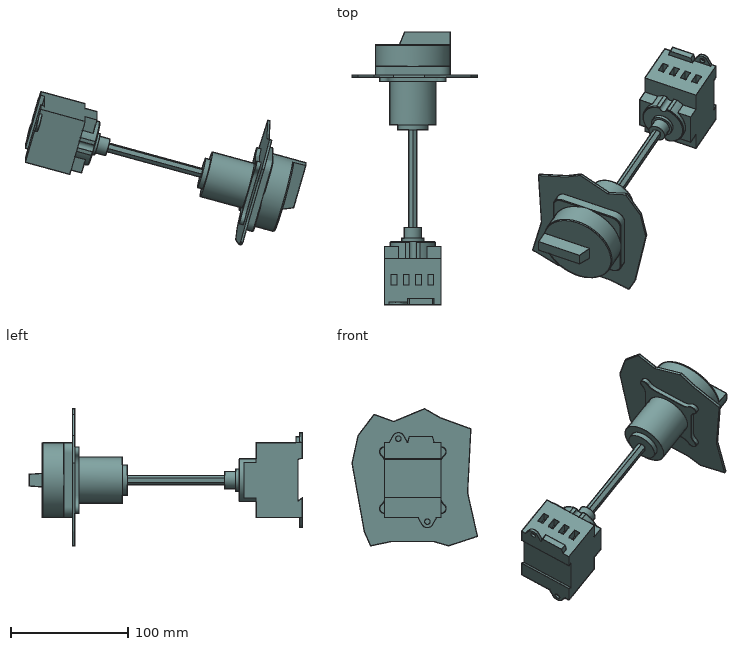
import cadquery as cq
import math


RECESS_FLOOR_Y = 3.5
BODY_FRONT_Y = 39.3
SHOULDER_FRONT_Y = 49.8
DISC_FRONT_Y = 54.0
COUPLING_FLANGE_FRONT_Y = 56.8
COUPLING_FRONT_Y = 66.0
SLEEVE_COLLAR_REAR_Y = 149.2
SLEEVE_REAR_Y = 153.3
BRACKET_REAR_Y = 190.0
PANEL_REAR_Y = 193.8
PANEL_FRONT_Y = 196.0
BASE_FRONT_Y = 203.5
KNOB_FRONT_Y = 222.0
GRIP_FRONT_Y = 232.7

PANEL_CORNERS = [
    (10.0, 61.0), (23.3, 53.3), (49.5, 43.7), (46.8, -10.7), (55.1, -48.0), (30.5, -56.0), (17.7, -52.4),
    (-18.2, -52.4), (-36.0, -56.0), (-41.5, -44.0), (-52.0, 14.5), (-46.8, 38.0), (-33.0, 56.0), (-16.3, 50.0),
]

BASE_SIDE = 64.0
BASE_CORNER_RADIUS = 8.5
BASE_CHAMFER = 0.7
KNOB_RADIUS = BASE_SIDE / 2
KNOB_CHAMFER_LENGTH = 1.2
KNOB_CHAMFER_DEPTH = 0.5
GRIP_TAIL_X = -11.5
GRIP_TIP_TAIL_X = -7.0
GRIP_ROOT_HALF_WIDTH = 5.8
GRIP_TIP_HALF_WIDTH = 5.1

LOBE_OFFSET = 24.2
LOBE_RADIUS = 4.2
BRACKET_HALF_SIDE = 23.5
BRACKET_FILLET_START = 13.7
BRACKET_EDGE_CHAMFER = 0.2

SLEEVE_RADIUS = 19.8
COLLAR_RADIUS = 13.0
SHAFT_ACROSS_FLATS = 7.0
SHAFT_SIDES = 6

BODY_HALF_WIDTH = 24.2
BODY_HEIGHT = 64.0
BODY_HALF_HEIGHT = BODY_HEIGHT / 2
SHOULDER_HALF_HEIGHT = 15.1
RECESS_TOP_Z = 18.5
RECESS_HALF_HEIGHT = 17.7
RECESS_LIP_Z = -15.0

TERMINAL_COUNT = 4
TERMINAL_PITCH = 10.5
TERMINAL_ROW_CENTER_X = -0.35
TERMINAL_WIDTH = 5.0
TERMINAL_LENGTH = 9.0
TERMINAL_CENTER_Y = 21.5
TERMINAL_DEPTH = 9.3

TAB_THICKNESS = 2.3
TAB_HOLE_X = 12.3
TAB_HOLE_Z = 35.4
TAB_HOLE_RADIUS = 2.3
TAB_TIP_RADIUS = 5.1
TAB_HALF_BASE = 8.0
LATCH_DEPTH = 5.4
LATCH_LEFT_X = -4.5
LATCH_RIGHT_X = 18.2
LATCH_SIDE_SLOPE = 1.5
LATCH_TOP_Z = 37.0

DISC_RADIUS = 19.3
DISC_CHAMFER = 0.7
DISC_FLAT_HALF_WIDTH = 6.3
DISC_GROOVE_RADIUS = 3.0
COUPLING_FLANGE_RADIUS = 9.5
COUPLING_RADIUS = 7.5


def section_ending_at(front_y):
    """XZ workplane at front_y; extruding from it goes toward -Y."""
    return cq.Workplane("XZ", origin=(0, front_y, 0))


def cylinder(radius, rear_y, front_y):
    return section_ending_at(front_y).circle(radius).extrude(front_y - rear_y)


def make_panel():
    outline = section_ending_at(PANEL_FRONT_Y).polyline(PANEL_CORNERS).close()
    return outline.extrude(PANEL_FRONT_Y - PANEL_REAR_Y)


def make_base():
    thickness = BASE_FRONT_Y - PANEL_FRONT_Y
    base = section_ending_at(BASE_FRONT_Y).rect(BASE_SIDE, BASE_SIDE).extrude(thickness)
    return base.edges("|Y").fillet(BASE_CORNER_RADIUS).faces(">Y").edges().chamfer(BASE_CHAMFER)


def make_knob():
    knob = cylinder(KNOB_RADIUS, PANEL_FRONT_Y, KNOB_FRONT_Y)
    return knob.faces(">Y").chamfer(KNOB_CHAMFER_LENGTH, KNOB_CHAMFER_DEPTH)


def make_grip():
    """Pointer grip: tapered across its width, sloped at the tail, flush with the knob at the other end."""
    side = (
        cq.Workplane("XY", origin=(0, 0, -GRIP_ROOT_HALF_WIDTH))
        .polyline([
            (GRIP_TAIL_X, KNOB_FRONT_Y),
            (GRIP_TIP_TAIL_X, GRIP_FRONT_Y),
            (KNOB_RADIUS, GRIP_FRONT_Y),
            (KNOB_RADIUS, BASE_FRONT_Y),
            (GRIP_TAIL_X, BASE_FRONT_Y),
        ])
        .close()
        .extrude(2 * GRIP_ROOT_HALF_WIDTH)
    )
    taper = (
        cq.Workplane("YZ", origin=(GRIP_TAIL_X, 0, 0))
        .polyline([
            (BASE_FRONT_Y, -GRIP_ROOT_HALF_WIDTH),
            (KNOB_FRONT_Y, -GRIP_ROOT_HALF_WIDTH),
            (GRIP_FRONT_Y, -GRIP_TIP_HALF_WIDTH),
            (GRIP_FRONT_Y, GRIP_TIP_HALF_WIDTH),
            (KNOB_FRONT_Y, GRIP_ROOT_HALF_WIDTH),
            (BASE_FRONT_Y, GRIP_ROOT_HALF_WIDTH),
        ])
        .close()
        .extrude(KNOB_RADIUS - GRIP_TAIL_X)
    )
    return side.intersect(taper).intersect(cylinder(KNOB_RADIUS, BASE_FRONT_Y, GRIP_FRONT_Y))


def make_bracket():
    """Square plate with a round lobe at each corner, blended into the sides by concave arcs."""
    run = LOBE_OFFSET - BRACKET_FILLET_START
    rise = LOBE_OFFSET - BRACKET_HALF_SIDE
    arc_radius = (run**2 + rise**2 - LOBE_RADIUS**2) / (2 * (LOBE_RADIUS + rise))
    arc_center_z = BRACKET_HALF_SIDE + arc_radius
    share = arc_radius / (arc_radius + LOBE_RADIUS)
    touch_x = BRACKET_FILLET_START + run * share
    touch_z = arc_center_z + (LOBE_OFFSET - arc_center_z) * share
    middle_angle = (math.atan2(touch_z - arc_center_z, touch_x - BRACKET_FILLET_START) - math.pi / 2) / 2
    middle_x = BRACKET_FILLET_START + arc_radius * math.cos(middle_angle)
    middle_z = arc_center_z + arc_radius * math.sin(middle_angle)
    lobe_tip = LOBE_OFFSET + LOBE_RADIUS / math.sqrt(2)

    outline = section_ending_at(PANEL_REAR_Y).moveTo(-BRACKET_FILLET_START, BRACKET_HALF_SIDE)
    for turn in range(4):
        angle = -turn * math.pi / 2

        def turned(x, z):
            return x * math.cos(angle) - z * math.sin(angle), x * math.sin(angle) + z * math.cos(angle)

        outline = (
            outline.lineTo(*turned(BRACKET_FILLET_START, BRACKET_HALF_SIDE))
            .threePointArc(turned(middle_x, middle_z), turned(touch_x, touch_z))
            .threePointArc(turned(lobe_tip, lobe_tip), turned(touch_z, touch_x))
            .threePointArc(turned(middle_z, middle_x), turned(BRACKET_HALF_SIDE, BRACKET_FILLET_START))
        )
    bracket = outline.close().extrude(PANEL_REAR_Y - BRACKET_REAR_Y)
    return bracket.faces("<Y").edges().chamfer(BRACKET_EDGE_CHAMFER)


def make_shaft():
    """Hexagonal shaft with corners at top and bottom."""
    corner_diameter = SHAFT_ACROSS_FLATS / math.cos(math.pi / SHAFT_SIDES)
    length = SLEEVE_COLLAR_REAR_Y - COUPLING_FRONT_Y
    hexagon = section_ending_at(SLEEVE_COLLAR_REAR_Y).polygon(SHAFT_SIDES, corner_diameter).extrude(length)
    return hexagon.rotate((0, 0, 0), (0, 1, 0), 90)


def make_handle():
    sleeve = cylinder(SLEEVE_RADIUS, SLEEVE_REAR_Y, BRACKET_REAR_Y)
    collar = cylinder(COLLAR_RADIUS, SLEEVE_COLLAR_REAR_Y, SLEEVE_REAR_Y)
    handle = make_panel().union(make_base()).union(make_knob()).union(make_grip())
    return handle.union(make_bracket()).union(sleeve).union(collar).union(make_shaft())


def make_switch_block():
    """Stepped block with a rail recess across its mounting face."""
    profile = [
        (0, BODY_HALF_HEIGHT),
        (BODY_FRONT_Y, BODY_HALF_HEIGHT),
        (BODY_FRONT_Y, SHOULDER_HALF_HEIGHT),
        (SHOULDER_FRONT_Y, SHOULDER_HALF_HEIGHT),
        (SHOULDER_FRONT_Y, -SHOULDER_HALF_HEIGHT),
        (BODY_FRONT_Y, -SHOULDER_HALF_HEIGHT),
        (BODY_FRONT_Y, -BODY_HALF_HEIGHT),
        (0, -BODY_HALF_HEIGHT),
        (0, RECESS_LIP_Z),
        (RECESS_FLOOR_Y, -RECESS_HALF_HEIGHT),
        (RECESS_FLOOR_Y, RECESS_HALF_HEIGHT),
        (0, RECESS_TOP_Z),
    ]
    block = cq.Workplane("YZ", origin=(-BODY_HALF_WIDTH, 0, 0)).polyline(profile).close()
    return block.extrude(2 * BODY_HALF_WIDTH)


def make_terminals():
    row = cq.Workplane("XY", origin=(TERMINAL_ROW_CENTER_X, TERMINAL_CENTER_Y, BODY_HALF_HEIGHT))
    row = row.rarray(TERMINAL_PITCH, 2.3, TERMINAL_COUNT, 1)
    return row.rect(TERMINAL_WIDTH, TERMINAL_LENGTH).extrude(-TERMINAL_DEPTH)


def make_tab():
    """Upper mounting tab: straight flanks running tangent into a round tip around the screw hole."""
    rise = TAB_HOLE_Z - BODY_HALF_HEIGHT
    reach = math.hypot(TAB_HALF_BASE, rise)
    tangent_angle = math.acos(TAB_TIP_RADIUS / reach) - math.atan2(rise, TAB_HALF_BASE)
    tangent_x = TAB_TIP_RADIUS * math.cos(tangent_angle)
    tangent_z = TAB_HOLE_Z + TAB_TIP_RADIUS * math.sin(tangent_angle)
    return (
        cq.Workplane("XZ", origin=(-TAB_HOLE_X, TAB_THICKNESS, 0))
        .moveTo(-TAB_HALF_BASE, BODY_HALF_HEIGHT)
        .lineTo(-tangent_x, tangent_z)
        .threePointArc((0, TAB_HOLE_Z + TAB_TIP_RADIUS), (tangent_x, tangent_z))
        .lineTo(TAB_HALF_BASE, BODY_HALF_HEIGHT)
        .lineTo(TAB_HALF_BASE, TAB_HOLE_Z - TAB_TIP_RADIUS)
        .lineTo(-TAB_HALF_BASE, TAB_HOLE_Z - TAB_TIP_RADIUS)
        .close()
        .extrude(TAB_THICKNESS)
    )


def make_tab_hole():
    hole = cq.Workplane("XZ", origin=(-TAB_HOLE_X, TAB_THICKNESS, TAB_HOLE_Z))
    return hole.circle(TAB_HOLE_RADIUS).extrude(TAB_THICKNESS)


def make_latch():
    return (
        section_ending_at(LATCH_DEPTH)
        .polyline([
            (LATCH_LEFT_X, BODY_HALF_HEIGHT),
            (LATCH_LEFT_X + LATCH_SIDE_SLOPE, LATCH_TOP_Z),
            (LATCH_RIGHT_X - LATCH_SIDE_SLOPE, LATCH_TOP_Z),
            (LATCH_RIGHT_X, BODY_HALF_HEIGHT),
        ])
        .close()
        .extrude(LATCH_DEPTH)
    )


def make_disc():
    """Round front boss with a flat and a half-round groove at its top and bottom."""
    depth = DISC_FRONT_Y - BODY_FRONT_Y
    flat_z = math.sqrt(DISC_RADIUS**2 - DISC_FLAT_HALF_WIDTH**2)
    flats = section_ending_at(DISC_FRONT_Y).rect(2 * DISC_RADIUS, 2 * flat_z).extrude(depth)
    disc = cylinder(DISC_RADIUS, BODY_FRONT_Y, DISC_FRONT_Y).intersect(flats)
    disc = disc.faces(">Y").chamfer(DISC_CHAMFER)
    for groove_z in (flat_z, -flat_z):
        groove = section_ending_at(DISC_FRONT_Y).center(0, groove_z).circle(DISC_GROOVE_RADIUS)
        disc = disc.cut(groove.extrude(depth))
    return disc


def make_switch():
    coupling_flange = cylinder(COUPLING_FLANGE_RADIUS, DISC_FRONT_Y, COUPLING_FLANGE_FRONT_Y)
    coupling = cylinder(COUPLING_RADIUS, COUPLING_FLANGE_FRONT_Y, COUPLING_FRONT_Y)
    switch = make_switch_block().union(make_disc()).union(coupling_flange).union(coupling)
    switch = switch.union(make_latch()).cut(make_terminals())
    for turn in (0, 180):
        switch = switch.union(make_tab().rotate((0, 0, 0), (0, 1, 0), turn))
        switch = switch.cut(make_tab_hole().rotate((0, 0, 0), (0, 1, 0), turn))
    return switch


handle = make_handle()
switch = make_switch()

result = cq.Compound.makeCompound([handle.val(), switch.val()])